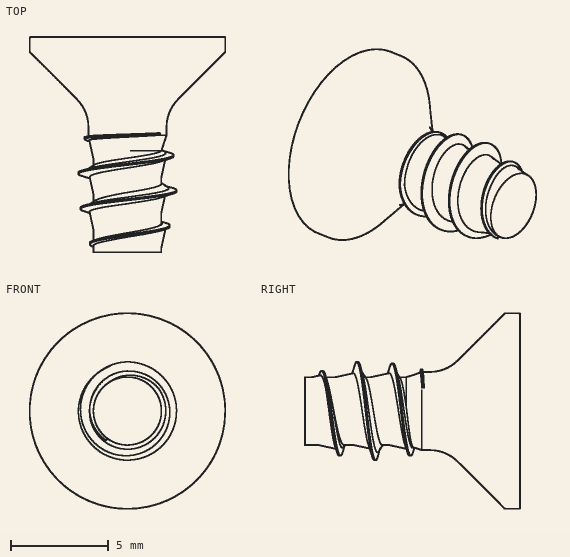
import cadquery as cq
import math


total_length = 11.0
head_diameter = 10.0
head_radius = head_diameter / 2
rim_height = 0.78
rim_round = 0.08
head_cone_angle = math.radians(45)
neck_radius = 2.0
neck_fillet = 2.0

core_radius = 1.74
core_taper_length = 0.79
neck_length = 0.42
tip_rim_width = 0.09
tip_recess_depth = 0.11

pitch = 1.8
entry_pitch = 0.5
crest_radius = 2.51
full_height_y = 4.04
full_height_end = 0.77
entry_slope = 0.31
exit_slope = 0.47
pitch_change_turn = -1.0
thread_start = -1.4
thread_end = 2.15
points_per_turn = 32

crest_half_width = 0.038
knee_offset = 0.13
knee_depth = 0.4
foot_offset = 0.44
foot_depth = 0.88
tip_flank_slope = 0.29
embedded_radius = 0.99

land_radius = 1.98
land_slope = 0.22
land_length = 1.26
land_fade_start = 1.6
land_fade_slope = 0.88


def revolved_body():
    """Head with rounded rim, neck fillet, neck and core in one revolved outline."""
    rim_bottom = total_length - rim_height
    fillet_radial = neck_fillet * (1 - math.cos(head_cone_angle))
    cone_end_radius = neck_radius + fillet_radial
    cone_end_y = rim_bottom - (head_radius - cone_end_radius) / math.tan(head_cone_angle)
    neck_top = cone_end_y - neck_fillet * math.sin(head_cone_angle)
    neck_bottom = neck_top - neck_length
    half_angle = head_cone_angle / 2
    arc_middle = (
        neck_radius + neck_fillet * (1 - math.cos(half_angle)),
        neck_top + neck_fillet * math.sin(half_angle),
    )
    return (
        cq.Workplane("XY")
        .moveTo(0, 0)
        .lineTo(core_radius, 0)
        .lineTo(core_radius, neck_bottom - core_taper_length)
        .lineTo(neck_radius, neck_bottom)
        .lineTo(neck_radius, neck_top)
        .threePointArc(arc_middle, (cone_end_radius, cone_end_y))
        .lineTo(head_radius, rim_bottom)
        .lineTo(head_radius, total_length)
        .lineTo(0, total_length)
        .close()
        .revolve(360, (0, 0, 0), (0, 1, 0))
        .edges(cq.selectors.RadiusNthSelector(-1))
        .fillet(rim_round)
    )


def steady_y(turn):
    """Axial place on the spiral of constant pitch."""
    return full_height_y - pitch * turn


def crest_y(turn):
    """Axial place of the crest; its spiral is flatter where it starts at the neck."""
    flat_turn = min(turn - pitch_change_turn, 0)
    return steady_y(turn) + (pitch - entry_pitch) * flat_turn


def crest_r(turn):
    """Crest radius; the thread rises from the neck and sinks into the core at the tip."""
    entry_drop = entry_slope * max(0, -turn)
    exit_drop = exit_slope * max(0, turn - full_height_end)
    return crest_radius - entry_drop - exit_drop


def thread_section(turn):
    """Corners of thread and land as (radius, y), from the head side to the tip side."""
    r = crest_r(turn)
    y = crest_y(turn)
    land_top = land_radius - land_fade_slope * max(0, turn - land_fade_start)
    land_at_crest = land_top - land_slope * (steady_y(turn) - y)
    land_end_y = steady_y(turn) - land_length
    flank_offset = crest_half_width + tip_flank_slope * (r - land_at_crest)
    flank_offset /= 1 - tip_flank_slope * land_slope
    return [
        (embedded_radius, y + foot_offset),
        (r - foot_depth, y + foot_offset),
        (r - knee_depth, y + knee_offset),
        (r, y + crest_half_width),
        (r, y - crest_half_width),
        (land_at_crest - land_slope * flank_offset, y - flank_offset),
        (land_top - land_slope * land_length, land_end_y),
        (embedded_radius, land_end_y),
    ]


def spiral_solid(section, stages):
    """Solid whose section corners each trace a spiral, joined by ruled faces."""
    middles = [(a + b) / 2 for a, b in zip(stages, stages[1:])]
    breaks = sorted(stages + middles)

    def place(corner, turn):
        radius, y = corner
        angle = math.pi + 2 * math.pi * turn
        return cq.Vector(radius * math.cos(angle), y, radius * math.sin(angle))

    def ring(turn):
        return [place(corner, turn) for corner in section(turn)]

    faces = []
    for start, end in zip(breaks, breaks[1:]):
        steps = math.ceil((end - start) * points_per_turn)
        rings = [ring(start + (end - start) * i / steps) for i in range(steps + 1)]
        edges = [cq.Edge.makeSpline(list(path)) for path in zip(*rings)]
        faces += [cq.Face.makeRuledSurface(edges[i - 1], edges[i]) for i in range(len(edges))]
    for turn in (breaks[0], breaks[-1]):
        faces.append(cq.Face.makeFromWires(cq.Wire.makePolygon(ring(turn), close=True)))
    solid = cq.Solid.makeSolid(cq.Shell.makeShell(faces))
    return cq.Workplane(solid.fix())


def below_tip():
    """Space beyond the tip face, with the cone that hollows the tip."""
    reach = 2 * crest_radius
    slab = cq.Workplane("XZ").circle(reach).extrude(reach)
    inward = cq.Vector(0, 1, 0)
    recess = cq.Solid.makeCone(
        core_radius - tip_rim_width, 0, tip_recess_depth, cq.Vector(0, 0, 0), inward
    )
    return slab.union(cq.Workplane(recess))


stage_turns = [thread_start, pitch_change_turn, 0, full_height_end, land_fade_start, thread_end]
thread = spiral_solid(thread_section, stage_turns)
result = revolved_body().union(thread).cut(below_tip()).solids()